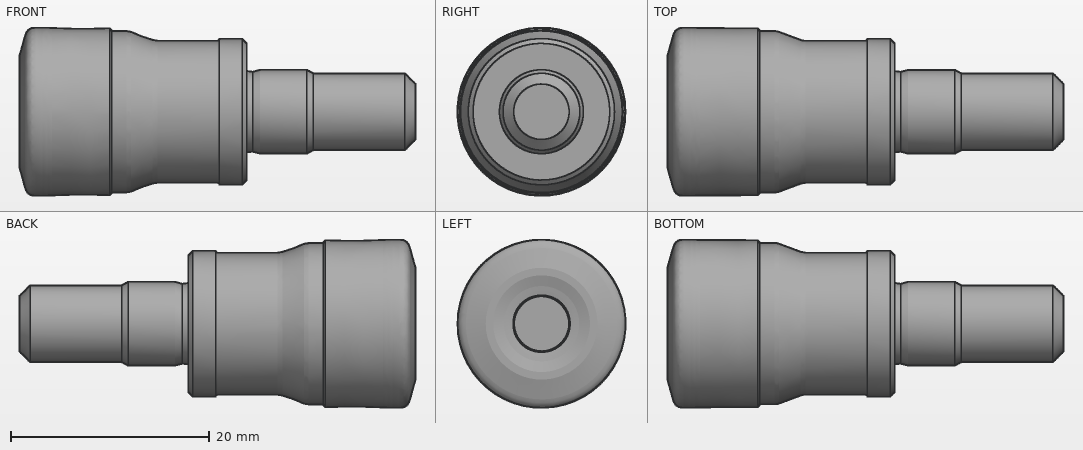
import cadquery as cq
import math

total_length = 40.0

knob_length = 9.3
knob_radius = 17.0 / 2
knob_rear_radius = 8.45
knob_rear_chamfer = 0.2
crest_start = 1.65
crest_end = 2.35
taper_blend_middle = 2.85
taper_blend_end = 3.3
taper_blend_middle_drop = 0.01
taper_blend_drop = 0.03
face_cone_depth = 0.55
face_cone_radius = 7.65
ring_outer_radius = 5.65
ring_inner_radius = 4.9
dish_radius = 3.8
dish_depth = 0.3
dish_lip_radius = 3.3
dish_lip_depth = 0.4
bore_entry_radius = 2.9
bore_radius = 2.75
bore_entry_depth = 0.5
spigot_front = 0.7

shoulder_radius = 16.3 / 2
barrel_radius = 14.35 / 2
cone_start = 11.05
cone_end = 13.7
cone_blend_radius = 1.35
flange_radius = 14.75 / 2
flange_front = 20.2
flange_rear = 22.95
flange_chamfer = 0.5
neck_entry_radius = 4.1
neck_radius = 4.05
neck_bottom = 23.55
collar_radius = 8.5 / 2
collar_start = 24.3
collar_end = 29.0
shank_radius = 7.75 / 2
shank_start = 29.7
tip_chamfer = 1.1


def turn(profile):
    """Revolve a closed (x, radius) profile about the X axis."""
    return profile.close().revolve(360, (0, 0, 0), (1, 0, 0))


def make_knob():
    """Cap with a rounded front edge, a dished face and a through bore."""
    face_run = face_cone_radius - ring_outer_radius
    face_length = math.hypot(face_cone_depth, face_run)
    face_direction = (face_cone_depth / face_length, face_run / face_length)
    profile = (
        cq.Workplane("XY")
        .moveTo(0, ring_inner_radius)
        .lineTo(0, ring_outer_radius)
        .lineTo(face_cone_depth, face_cone_radius)
        .spline([(crest_start, knob_radius)], tangents=[face_direction, (1, 0)], includeCurrent=True)
        .lineTo(crest_end, knob_radius)
        .lineTo(taper_blend_middle, knob_radius - taper_blend_middle_drop)
        .lineTo(taper_blend_end, knob_radius - taper_blend_drop)
        .lineTo(knob_length - knob_rear_chamfer, knob_rear_radius)
        .lineTo(knob_length, knob_rear_radius - knob_rear_chamfer)
        .lineTo(knob_length, bore_radius)
        .lineTo(spigot_front, bore_radius)
        .lineTo(bore_entry_depth, bore_entry_radius)
        .lineTo(dish_lip_depth, dish_lip_radius)
        .lineTo(dish_depth, dish_radius)
    )
    return turn(profile)


def round_cone_ends(body):
    """Blend the cone into the shoulder and into the barrel."""
    def is_cone_end(edge):
        center = edge.Center()
        return min(abs(center.x - cone_start), abs(center.x - cone_end)) < 0.005

    edges = [edge for edge in body.edges("%CIRCLE").vals() if is_cone_end(edge)]
    return cq.Workplane(body.val().fillet(cone_blend_radius, edges))


def make_body():
    """Spigot inside the knob, shouldered barrel with flange, then the stepped shank."""
    fillet_size = flange_radius - barrel_radius
    fillet_middle = fillet_size * math.sqrt(0.5)
    profile = (
        cq.Workplane("XY")
        .moveTo(spigot_front, 0)
        .lineTo(spigot_front, bore_radius)
        .lineTo(knob_length, bore_radius)
        .lineTo(knob_length, shoulder_radius)
        .lineTo(cone_start, shoulder_radius)
        .lineTo(cone_end, barrel_radius)
        .lineTo(flange_front - fillet_size, barrel_radius)
        .threePointArc(
            (flange_front - fillet_size + fillet_middle, flange_radius - fillet_middle),
            (flange_front, flange_radius),
        )
        .lineTo(flange_rear - flange_chamfer, flange_radius)
        .lineTo(flange_rear, flange_radius - flange_chamfer)
        .lineTo(flange_rear, neck_entry_radius)
        .lineTo(neck_bottom, neck_radius)
        .lineTo(collar_start, collar_radius)
        .lineTo(collar_end, collar_radius)
        .lineTo(shank_start, shank_radius)
        .lineTo(total_length - tip_chamfer, shank_radius)
        .lineTo(total_length, shank_radius - tip_chamfer)
        .lineTo(total_length, 0)
    )
    return round_cone_ends(turn(profile))


knob = make_knob()
body = make_body()

result = cq.Compound.makeCompound([knob.val(), body.val()])